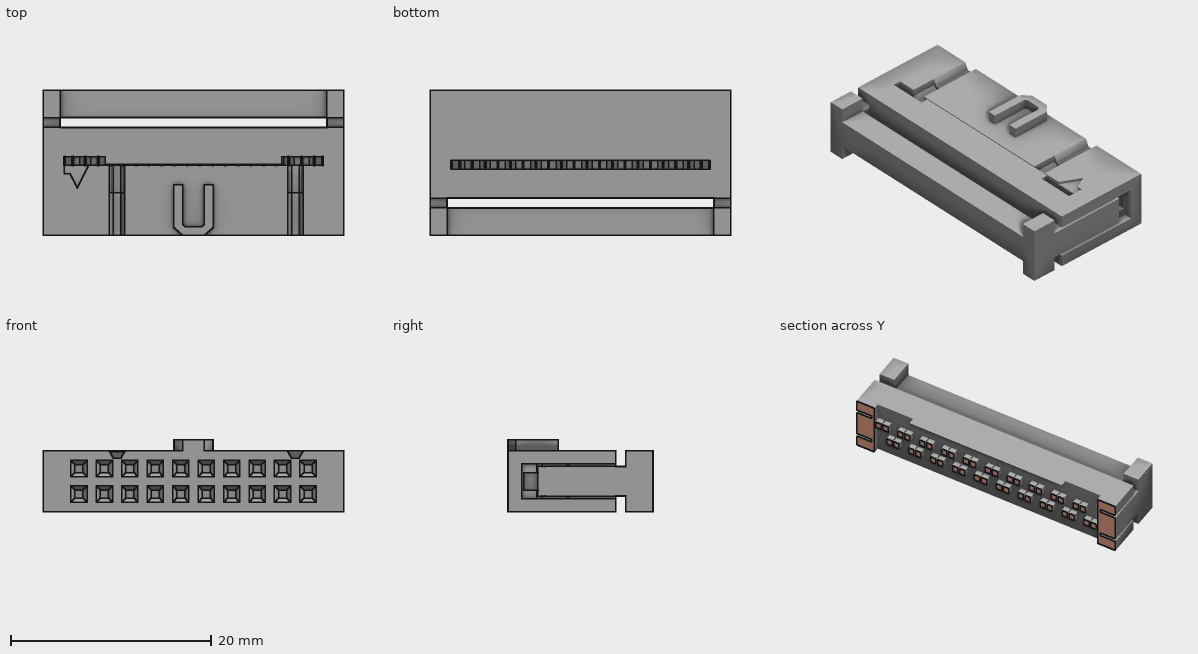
import cadquery as cq

pitch = 2.54
wire_pitch = pitch / 2
columns = 10
rows = 2

length = 30.0
total_depth = 14.5
body_depth = 10.78
body_height = 6.1
total_height = 7.2
mid_height = body_height / 2
half_length = length / 2

mouth_size = 1.62
pin_floor_size = 0.8
pin_hole_depth = (mouth_size - pin_floor_size) / 2

key_width = 3.9
key_length = 5.05
key_slot_width = 2.14
key_web = 0.86
key_slot_chamfer = 0.25
key_chamfer_x = 0.88
key_chamfer_y = 0.78

cavity_half_length = 12.92
roof_half_length = 8.82
cavity_front_y = 7.0
cavity_back_y = 7.87
slit_width = 0.1
roof_thickness = 0.1
contact_width = 1.47
contact_gap = 0.15
contact_height = 0.8
upper_contact_top = 4.3
lower_contact_top = 2.6

groove_columns = (-3, 4)
groove_top_half = 0.78
groove_floor_half = 0.38
groove_depth = 0.75
pocket_front_y = 4.26
pocket_wall_depth = groove_depth
pocket_facet_half = 0.57
pocket_facet_depth = 0.94
pocket_depth = 1.03

mark_depth = 0.25
mark_tip_x = -11.6
mark_tip_y = 4.73
mark_shoulder_y = 6.17
mark_slope = 2.0

tab_width = 1.7
bar_front_y = 11.75
arm_front_y = 3.0
arm_height = 2.96
arm_tip_thickness = 0.84

recess_height = 3.5
recess_front_y = 1.4
recess_depths = (arm_tip_thickness, 1.2, tab_width)
first_ramp = (2.9, 3.45)
second_ramp = (5.87, 6.15)
catch_front_y = 1.6
catch_back_y = 3.7
catch_height = 1.75
catch_depth = 0.6


def box(x_range, y_range, z_range):
    """Axis-aligned box between the given limits."""
    size = [high - low for low, high in (x_range, y_range, z_range)]
    corner = (x_range[0], y_range[0], z_range[0])
    return cq.Workplane("XY").box(*size, centered=False).translate(corner)


def centred_range(centre, size):
    return (centre - size / 2, centre + size / 2)


def both_ends(left_shape):
    """The left-end shape together with its mirror image at the right end."""
    return left_shape.union(left_shape.mirror("YZ"))


def pin_holes():
    holes = cq.Workplane("XY")
    for column in range(columns):
        for row in range(rows):
            x = (column - (columns - 1) / 2) * pitch
            z = mid_height + (row - (rows - 1) / 2) * pitch
            hole = (
                cq.Workplane("XZ", origin=(x, 0, z))
                .rect(mouth_size, mouth_size)
                .workplane(offset=-pin_hole_depth)
                .rect(pin_floor_size, pin_floor_size)
                .loft(ruled=True)
            )
            holes = holes.add(hole)
    return holes.combine()


def key():
    half = key_width / 2
    slot_half = key_slot_width / 2
    outline = [
        (-half, key_length),
        (-half, key_chamfer_y),
        (-half + key_chamfer_x, 0),
        (half - key_chamfer_x, 0),
        (half, key_chamfer_y),
        (half, key_length),
        (slot_half, key_length),
        (slot_half, key_web + key_slot_chamfer),
        (slot_half - key_slot_chamfer, key_web),
        (-slot_half + key_slot_chamfer, key_web),
        (-slot_half, key_web + key_slot_chamfer),
        (-slot_half, key_length),
    ]
    base = cq.Workplane("XY", origin=(0, 0, body_height))
    return base.polyline(outline).close().extrude(total_height - body_height)


def contact(wire, top_z):
    """One split contact, with a gap where the wire is pressed in."""
    x = (wire - (columns * rows - 1) / 2) * wire_pitch
    y_range = (cavity_front_y, cavity_back_y)
    z_range = (top_z - contact_height, top_z)
    blade = box(centred_range(x, contact_width), y_range, z_range)
    return blade.cut(box(centred_range(x, contact_gap), y_range, z_range))


def contact_cavity():
    """Slot through the housing, less its thin roof and the contacts that cross it."""
    y_range = (cavity_front_y, cavity_back_y)
    cavity = box((-cavity_half_length, cavity_half_length), y_range, (0, body_height))
    roof = box(
        (-roof_half_length, roof_half_length),
        (cavity_front_y + slit_width, cavity_back_y),
        (body_height - roof_thickness, body_height),
    )
    cavity = cavity.cut(roof)
    for wire in range(columns * rows):
        top_z = lower_contact_top if wire % 2 else upper_contact_top
        cavity = cavity.cut(contact(wire, top_z))
    return cavity


def groove(centre_x):
    """Trapezoidal groove from the front, then a deeper pocket with a faceted floor."""
    channel = (
        cq.Workplane("XZ", origin=(centre_x, 0, body_height))
        .polyline([
            (-groove_top_half, 0),
            (-groove_floor_half, -groove_depth),
            (groove_floor_half, -groove_depth),
            (groove_top_half, 0),
        ])
        .close()
        .extrude(-cavity_front_y)
    )
    pocket = (
        cq.Workplane("XZ", origin=(centre_x, pocket_front_y, body_height))
        .polyline([
            (-groove_top_half, 0),
            (-groove_top_half, -pocket_wall_depth),
            (-pocket_facet_half, -pocket_facet_depth),
            (-groove_floor_half, -pocket_depth),
            (groove_floor_half, -pocket_depth),
            (pocket_facet_half, -pocket_facet_depth),
            (groove_top_half, -pocket_wall_depth),
            (groove_top_half, 0),
        ])
        .close()
        .extrude(pocket_front_y - cavity_front_y)
    )
    return channel.union(pocket)


def pin_one_mark():
    shoulder_x = mark_tip_x - (mark_shoulder_y - mark_tip_y) / mark_slope
    right_x = mark_tip_x + (cavity_front_y - mark_tip_y) / mark_slope
    return (
        cq.Workplane("XY", origin=(0, 0, body_height))
        .polyline([
            (-cavity_half_length, cavity_front_y),
            (-cavity_half_length, mark_shoulder_y),
            (shoulder_x, mark_shoulder_y),
            (mark_tip_x, mark_tip_y),
            (right_x, cavity_front_y),
        ])
        .close()
        .extrude(-mark_depth)
    )


def side_recess():
    """Left recess, stepping deeper over two ramps towards the rear."""
    front_x, middle_x, rear_x = [-half_length + depth for depth in recess_depths]
    recess = (
        cq.Workplane("XY", origin=(0, 0, mid_height - recess_height / 2))
        .polyline([
            (-half_length, recess_front_y),
            (front_x, recess_front_y),
            (front_x, first_ramp[0]),
            (middle_x, first_ramp[1]),
            (middle_x, second_ramp[0]),
            (rear_x, second_ramp[1]),
            (rear_x, body_depth),
            (-half_length, body_depth),
        ])
        .close()
        .extrude(recess_height)
    )
    catch = box(
        (front_x, front_x + catch_depth),
        (catch_front_y, catch_back_y),
        centred_range(mid_height, catch_height),
    )
    return recess.union(catch)


def clip():
    y_range = (bar_front_y, total_depth)
    arm_z = centred_range(mid_height, arm_height)
    end_x = (-half_length, -half_length + tab_width)
    bar = box((-half_length, half_length), y_range, arm_z)
    tab = box(end_x, y_range, (0, body_height))
    arm = box(end_x, (catch_back_y, bar_front_y), arm_z)
    tip_x = (-half_length, -half_length + arm_tip_thickness)
    arm_tip = box(tip_x, (arm_front_y, catch_back_y), arm_z)
    return bar.union(both_ends(tab.union(arm).union(arm_tip)))


def housing():
    body = box((-half_length, half_length), (0, body_depth), (0, body_height))
    body = body.cut(pin_holes()).cut(contact_cavity())
    for column in groove_columns:
        body = body.cut(groove(column * pitch))
    body = body.cut(pin_one_mark()).cut(both_ends(side_recess()))
    return body.union(key())


result = housing().union(clip())